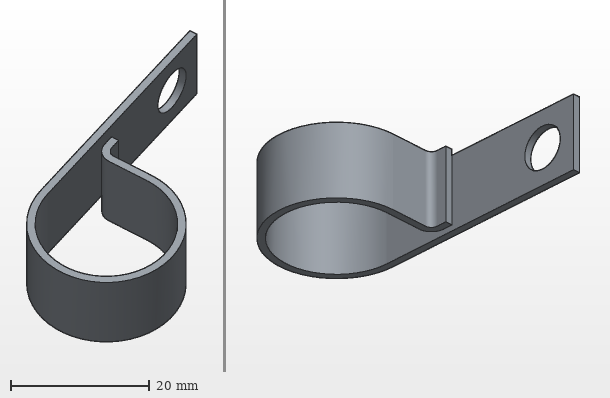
import cadquery as cq
import math

total_length = 49.65
loop_diameter = 23.1
thickness = 1.25
strap_width = 12.7
hole_diameter = 7.2
lip_gap = 1.25
lip_end_height = 14.5
bend_inner_radius = 1.2

outer_radius = loop_diameter / 2
inner_radius = outer_radius - thickness
leg_end = total_length - outer_radius
hole_from_end = strap_width / 2
bend_outer_radius = bend_inner_radius + thickness
lip_outer_x = -inner_radius + lip_gap
lip_inner_x = lip_outer_x + thickness
bend_center_x = lip_outer_x + bend_outer_radius
bend_center_y = inner_radius + bend_outer_radius


def bend_midpoint(radius):
    """Middle of the quarter bend that joins the loop's flat to the lip."""
    offset = radius * math.sqrt(0.5)
    return bend_center_x - offset, bend_center_y - offset


def loop_midpoint(radius):
    """Middle of the three-quarter loop arc, opposite its open corner."""
    offset = radius * math.sqrt(0.5)
    return offset, -offset


def make_strap():
    """Bent strip: straight leg, three-quarter loop, short flat and lip."""
    profile = (
        cq.Workplane("XY")
        .moveTo(-outer_radius, leg_end)
        .lineTo(-outer_radius, 0)
        .threePointArc(loop_midpoint(outer_radius), (0, outer_radius))
        .lineTo(bend_center_x, outer_radius)
        .threePointArc(bend_midpoint(bend_inner_radius), (lip_inner_x, bend_center_y))
        .lineTo(lip_inner_x, lip_end_height)
        .lineTo(lip_outer_x, lip_end_height)
        .lineTo(lip_outer_x, bend_center_y)
        .threePointArc(bend_midpoint(bend_outer_radius), (bend_center_x, inner_radius))
        .lineTo(0, inner_radius)
        .threePointArc(loop_midpoint(inner_radius), (-inner_radius, 0))
        .lineTo(-inner_radius, leg_end)
        .close()
    )
    return profile.extrude(strap_width / 2, both=True)


def make_mounting_hole():
    """Cylinder that passes through the straight leg only."""
    return (
        cq.Workplane("YZ", origin=(-outer_radius, leg_end - hole_from_end, 0))
        .circle(hole_diameter / 2)
        .extrude(thickness)
    )


result = make_strap().cut(make_mounting_hole())